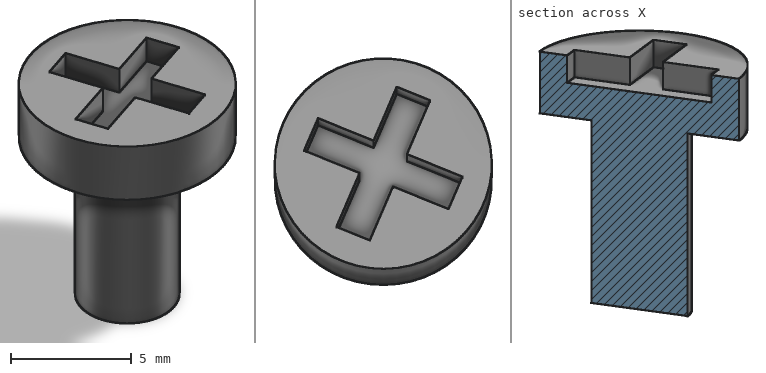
import cadquery as cq

total_height = 10.7
head_diameter = 9.0
head_height = 2.72
shank_diameter = 4.35
recess_length = 6.48
recess_width = 1.5
recess_depth = 1.2

shank_length = total_height - head_height


def make_body():
    """Plain shank standing on Z = 0 with a cylindrical head on top."""
    shank = cq.Workplane("XY").circle(shank_diameter / 2).extrude(shank_length)
    head = (
        cq.Workplane("XY")
        .workplane(offset=shank_length)
        .circle(head_diameter / 2)
        .extrude(head_height)
    )
    return shank.union(head)


def make_cross_recess():
    """Two crossed flat-bottomed slots sunk from the top of the head."""
    floor = cq.Workplane("XY").workplane(offset=total_height - recess_depth)
    slot_along_x = floor.rect(recess_length, recess_width).extrude(recess_depth)
    slot_along_y = floor.rect(recess_width, recess_length).extrude(recess_depth)
    return slot_along_x.union(slot_along_y)


result = make_body().cut(make_cross_recess())